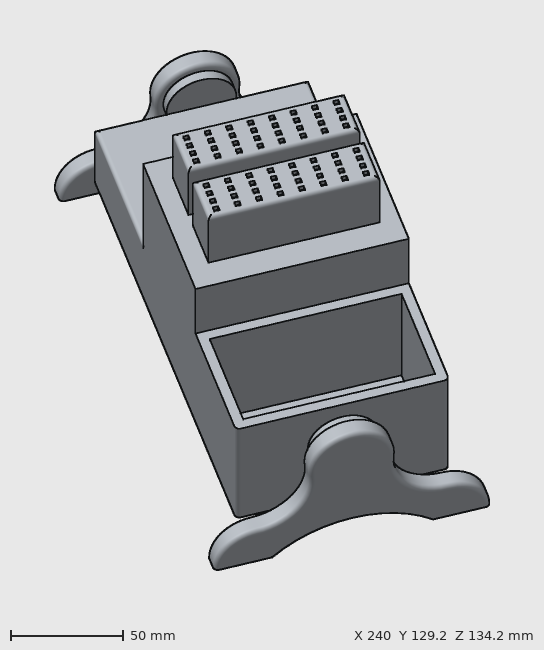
import cadquery as cq
import math

overall_length = 240.0
edge_radius = 2.2

low_length = 72.0
tall_length = 78.0
tray_length = 60.0
housing_length = low_length + tall_length + tray_length
housing_width = 99.8
low_height = 35.3
tall_height = 90.0
tray_height = 60.0
tray_wall = 5.0
tray_corner_radius = 2.5
ground_clearance = 14.2

block_length = 23.3
block_width = 80.2
block_height = 30.0
block_gap = 6.5
block_inset = 11.8
block_y_offset = 0.35
socket_size = 2.5
socket_depth = 2.5
socket_columns = 4
socket_rows = 8
socket_column_pitch = 4.8
socket_row_pitch = block_width / socket_rows

foot_thickness = 10.0
foot_edge_radius = 2.5
lobe_radius = 40.0 / 2
bend_radius = 49.7 / 2
lobe_rise = 4.8
arch_half_span = 37.7
arch_height = 14.0
axle_diameter = 32.6

housing_start = (overall_length - housing_length) / 2
housing_end = housing_start + housing_length
tall_start = housing_start + low_length
tray_start = tall_start + tall_length
axle_length = housing_start - foot_thickness
bend_center_z = lobe_radius + bend_radius
axle_z = bend_center_z + lobe_rise


def box_at(start_x, center_y, bottom_z, length, width, height):
    """Box given by its lowest X, its middle Y and its lowest Z."""
    corner = (start_x, center_y - width / 2, bottom_z)
    return cq.Workplane("XY").box(length, width, height, centered=False).translate(corner)


def make_housing():
    """Stepped body whose tray end is hollowed by an open-topped pocket."""
    low = box_at(housing_start, 0, ground_clearance, low_length, housing_width, low_height)
    low = low.faces(">Z").edges("<X or <Y or >Y").fillet(edge_radius)
    tall = box_at(tall_start, 0, ground_clearance, tall_length, housing_width, tall_height)
    tray = box_at(tray_start, 0, ground_clearance, tray_length, housing_width, tray_height)
    tray = tray.edges("|Z and >X").fillet(tray_corner_radius)
    pocket = box_at(
        tray_start + tray_wall,
        0,
        ground_clearance + tray_wall,
        tray_length - 2 * tray_wall,
        housing_width - 2 * tray_wall,
        tray_height,
    )
    return low.union(tall).union(tray.cut(pocket))


def make_terminal_block(start_x):
    """Rounded block on the tall middle, with a grid of square sockets in its top."""
    bottom_z = ground_clearance + tall_height
    block = box_at(start_x, block_y_offset, bottom_z, block_length, block_width, block_height)
    block = block.faces(">Z").edges().fillet(edge_radius)
    sockets = (
        cq.Workplane("XY", origin=(start_x + block_length / 2, block_y_offset, bottom_z + block_height))
        .rarray(socket_column_pitch, socket_row_pitch, socket_columns, socket_rows)
        .rect(socket_size, socket_size)
        .extrude(-socket_depth)
    )
    return block.cut(sockets)


def make_foot(start_x):
    """Plate with a round lobe about the axle, flowing through two bends into two quarter-round toes."""
    toe_y = math.sqrt((lobe_radius + bend_radius) ** 2 - lobe_rise**2)
    toe_tip_y = toe_y + lobe_radius
    lobe_share = lobe_radius / (lobe_radius + bend_radius)
    joint_y = toe_y * lobe_share
    joint_z = axle_z - lobe_rise * lobe_share
    bend_end_angle = math.atan2(lobe_rise, -toe_y)
    bend_middle_angle = (bend_end_angle + 1.5 * math.pi) / 2
    bend_y = toe_y + bend_radius * math.cos(bend_middle_angle)
    bend_z = bend_center_z + bend_radius * math.sin(bend_middle_angle)
    toe_diagonal = lobe_radius * math.sqrt(0.5)

    foot = (
        cq.Workplane("YZ", origin=(start_x, 0, 0))
        .moveTo(arch_half_span, 0)
        .lineTo(toe_tip_y, 0)
        .threePointArc((toe_y + toe_diagonal, toe_diagonal), (toe_y, lobe_radius))
        .threePointArc((bend_y, bend_z), (joint_y, joint_z))
        .threePointArc((0, axle_z + lobe_radius), (-joint_y, joint_z))
        .threePointArc((-bend_y, bend_z), (-toe_y, lobe_radius))
        .threePointArc((-toe_y - toe_diagonal, toe_diagonal), (-toe_tip_y, 0))
        .lineTo(-arch_half_span, 0)
        .threePointArc((0, arch_height), (arch_half_span, 0))
        .close()
        .extrude(foot_thickness)
    )
    return foot.faces(">Z").edges("not(|X)").fillet(foot_edge_radius)


def make_axle(start_x):
    """Short round stub that joins a foot to the end of the housing."""
    return cq.Workplane("YZ", origin=(start_x, 0, axle_z)).circle(axle_diameter / 2).extrude(axle_length)


housing = make_housing()

first_block_x = tall_start + block_inset
block_starts = [first_block_x, first_block_x + block_length + block_gap]
terminal_blocks = [make_terminal_block(start_x) for start_x in block_starts]

feet = [make_foot(start_x) for start_x in (0, overall_length - foot_thickness)]
axles = [make_axle(start_x) for start_x in (foot_thickness, housing_end)]

bodies = [housing, *terminal_blocks, *feet, *axles]
result = cq.Compound.makeCompound([body.val() for body in bodies])